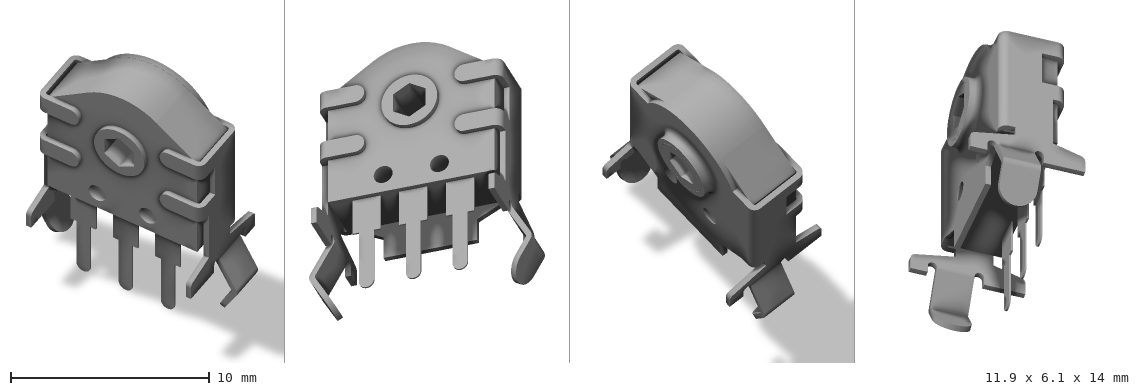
import cadquery as cq
import math


housing_width = 8.89
housing_depth = 2.88
housing_bottom = -5.0
dome_radius = 3.59
dome_slope = 34.4
hex_across_flats = 1.75
hub_diameter = 2.98
peg_hole_diameter = 1.0
peg_hole_spacing = 3.0
peg_hole_z = -3.98

sheet = 0.31
bend_inner = 0.14
bend_outer = bend_inner + sheet
frame_half = housing_width / 2 + bend_outer
frame_top = 1.51
plate_radius = 3.6
collar_diameter = 3.6
collar_bore = 3.0
collar_height = 0.6
collar_fillet = 0.3

finger_width = 1.0
finger_pitch = 3.0
finger_tip_x = 2.4
window_depth = 0.99
side_front_y = 0.39

neck_rear_y = 2.38

tail_start_half = 3.98
tail_half = 2.5
tail_slope_drop = 0.75

skirt_bottom = -7.0
wing_rear_y = 4.78
wing_span = 6.1
wing_front_y = wing_rear_y - wing_span
wing_root_z = -5.52
wing_tip_z = -6.03
wing_corner_radius = 0.3

leg_width = 2.0
leg_y = 2.38
leg_lean = 30
leg_bend_z = -6.42
leg_reach = 5.94
leg_tip_radius = 0.99
notch_width = 0.49
notch_top = -6.29

overall_height = 13.98
part_bottom = plate_radius - overall_height
terminal_pitch = 2.5
terminal_thickness = 0.1
terminal_front_y = 0.3
shoulder_width = 1.5
pin_width = 0.8


def block(x0, x1, y0, y1, z0, z1):
    """Box between two opposite corners."""
    return cq.Workplane("XY").box(x1 - x0, y1 - y0, z1 - z0, centered=False).translate((x0, y0, z0))


def facing_front(y):
    """XZ sketch plane at the given Y; extrusions run toward +Y."""
    return cq.Workplane(cq.Plane(origin=(0, y, 0), xDir=(1, 0, 0), normal=(0, -1, 0)))


def disc(diameter, y0, y1):
    """Cylinder on the hub axis between two Y positions."""
    return facing_front(y0).circle(diameter / 2).extrude(y0 - y1)


def peg_holes(y0, y1):
    """Cutters for the two round holes below the hub."""
    places = [(-peg_hole_spacing / 2, peg_hole_z), (peg_hole_spacing / 2, peg_hole_z)]
    return facing_front(y0).pushPoints(places).circle(peg_hole_diameter / 2).extrude(y0 - y1)


def polar(center, radius, degrees):
    """Point at an angle around a centre."""
    angle = math.radians(degrees)
    return (center[0] + radius * math.cos(angle), center[1] + radius * math.sin(angle))


def make_housing():
    half = housing_width / 2
    left_tangent = polar((0, 0), dome_radius, 90 + dome_slope)
    right_tangent = polar((0, 0), dome_radius, 90 - dome_slope)
    shoulder_z = right_tangent[1] - (half - right_tangent[0]) * math.tan(math.radians(dome_slope))
    body = (
        facing_front(0)
        .moveTo(-half, housing_bottom)
        .lineTo(-half, shoulder_z)
        .lineTo(*left_tangent)
        .threePointArc((0, dome_radius), right_tangent)
        .lineTo(half, shoulder_z)
        .lineTo(half, housing_bottom)
        .close()
        .extrude(-housing_depth)
    )
    hub_rear = housing_depth + sheet + collar_height
    body = body.union(disc(hub_diameter, -sheet, 0))
    body = body.union(disc(hub_diameter, housing_depth, hub_rear))

    hex_corners = hex_across_flats / math.cos(math.pi / 6)
    hexagon = (
        facing_front(-sheet)
        .transformed(rotate=(0, 0, 30))
        .polygon(6, hex_corners)
        .extrude(-(hub_rear + sheet))
    )
    return body.cut(hexagon).cut(peg_holes(0, housing_depth))


def make_back_plate():
    """Round-topped rear plate with its tail and the raised collar around the hub."""
    rear_y = housing_depth + sheet
    half = housing_width / 2
    plate = (
        facing_front(housing_depth)
        .moveTo(-half, frame_top)
        .lineTo(-half, housing_bottom)
        .lineTo(-tail_start_half, housing_bottom)
        .lineTo(-tail_half, housing_bottom - tail_slope_drop)
        .lineTo(-tail_half, skirt_bottom)
        .lineTo(tail_half, skirt_bottom)
        .lineTo(tail_half, housing_bottom - tail_slope_drop)
        .lineTo(tail_start_half, housing_bottom)
        .lineTo(half, housing_bottom)
        .lineTo(half, frame_top)
        .close()
        .extrude(-sheet)
    )
    dome = disc(2 * plate_radius, housing_depth, rear_y)
    collar = disc(collar_diameter, rear_y, rear_y + collar_height)
    plate = plate.union(dome).union(collar)
    collar_root = cq.selectors.NearestToPointSelector((0, rear_y, 0))
    return plate.edges(collar_root).fillet(collar_fillet)


def make_sleeve():
    """Bent side walls: a rounded tube opened at the front except for the four finger bends."""
    mid_y = housing_depth / 2
    outer_depth = housing_depth + 2 * sheet
    height = frame_top - housing_bottom
    base = cq.Workplane("XY", origin=(0, mid_y, housing_bottom))
    outer = base.rect(2 * frame_half, outer_depth).extrude(height).edges("|Z").fillet(bend_outer)
    inner = (
        base.rect(2 * (frame_half - sheet), housing_depth).extrude(height).edges("|Z").fillet(bend_inner)
    )
    sleeve = outer.cut(inner)

    half = housing_width / 2
    window_top = frame_top - finger_width
    window_bottom = frame_top - finger_pitch
    fingers_bottom = window_bottom - finger_width
    sleeve = sleeve.cut(block(-half, half, -sheet, 0, housing_bottom, frame_top))
    sleeve = sleeve.cut(block(-frame_half, frame_half, -sheet, window_depth, window_bottom, window_top))
    return sleeve.cut(block(-frame_half, frame_half, -sheet, side_front_y, housing_bottom, fingers_bottom))


def make_finger(top_z):
    """Right-hand finger with a round tip, lying on the housing front."""
    radius = finger_width / 2
    arc_x = finger_tip_x + radius
    return (
        facing_front(-sheet)
        .moveTo(housing_width / 2, top_z)
        .lineTo(arc_x, top_z)
        .threePointArc((finger_tip_x, top_z - radius), (arc_x, top_z - finger_width))
        .lineTo(housing_width / 2, top_z - finger_width)
        .close()
        .extrude(-sheet)
    )


def make_wing():
    """Right-hand neck and winged foot, notched on both sides of the leg."""
    inner_x = frame_half - sheet
    wing = (
        cq.Workplane("YZ", origin=(inner_x, 0, 0))
        .moveTo(side_front_y, housing_bottom)
        .lineTo(side_front_y, wing_root_z)
        .lineTo(wing_front_y, wing_tip_z)
        .lineTo(wing_front_y, skirt_bottom)
        .lineTo(wing_rear_y, skirt_bottom)
        .lineTo(wing_rear_y, wing_tip_z)
        .lineTo(neck_rear_y, wing_root_z)
        .lineTo(neck_rear_y, housing_bottom)
        .close()
        .extrude(sheet)
    )
    for y in (wing_front_y, wing_rear_y):
        corner = cq.selectors.NearestToPointSelector((frame_half - sheet / 2, y, wing_tip_z))
        wing = wing.edges(corner).fillet(wing_corner_radius)

    leg_front = leg_y - leg_width / 2
    leg_rear = leg_y + leg_width / 2
    wing = wing.cut(block(inner_x, frame_half, leg_front, leg_rear, skirt_bottom, leg_bend_z))
    radius = notch_width / 2
    for y in (leg_front - radius, leg_rear + radius):
        notch = (
            cq.Workplane("YZ", origin=(inner_x, 0, 0))
            .moveTo(y - radius, skirt_bottom)
            .lineTo(y - radius, notch_top - radius)
            .threePointArc((y, notch_top), (y + radius, notch_top - radius))
            .lineTo(y + radius, skirt_bottom)
            .close()
            .extrude(sheet)
        )
        wing = wing.cut(notch)
    return wing


def make_leg():
    """Right-hand snap leg: leans outward, bends back inward and ends in a round tip."""
    lean = math.radians(leg_lean)
    root_center = (frame_half + bend_inner, leg_bend_z)
    knee_x = leg_reach - bend_outer
    knee_drop = (bend_inner + bend_outer + (knee_x - root_center[0]) * math.cos(lean)) / math.sin(lean)
    knee_center = (knee_x, leg_bend_z - knee_drop)

    root_angle = 180 + leg_lean
    root_mid = 180 + leg_lean / 2
    knee_outer_end = polar(knee_center, bend_outer, -leg_lean)
    knee_inner_end = polar(knee_center, bend_inner, -leg_lean)
    tip_length = (knee_outer_end[1] - part_bottom) / math.cos(lean)
    tip_heading = 270 - leg_lean
    leg = (
        facing_front(leg_y - leg_width / 2)
        .moveTo(*polar(root_center, bend_inner, 180))
        .threePointArc(polar(root_center, bend_inner, root_mid), polar(root_center, bend_inner, root_angle))
        .lineTo(*polar(knee_center, bend_outer, leg_lean))
        .threePointArc(polar(knee_center, bend_outer, 0), knee_outer_end)
        .lineTo(*polar(knee_outer_end, tip_length, tip_heading))
        .lineTo(*polar(knee_inner_end, tip_length, tip_heading))
        .lineTo(*knee_inner_end)
        .threePointArc(polar(knee_center, bend_inner, 0), polar(knee_center, bend_inner, leg_lean))
        .lineTo(*polar(root_center, bend_outer, root_angle))
        .threePointArc(polar(root_center, bend_outer, root_mid), polar(root_center, bend_outer, 180))
        .close()
        .extrude(-leg_width)
    )
    across_tip = cq.Vector(math.cos(lean), 0, -math.sin(lean))
    return leg.edges(cq.selectors.ParallelDirSelector(across_tip)).fillet(leg_tip_radius)


def make_frame():
    right_parts = [make_wing(), make_leg()]
    for row in range(2):
        right_parts.append(make_finger(frame_top - row * finger_pitch))
    frame = make_sleeve().union(make_back_plate())
    for piece in right_parts:
        frame = frame.union(piece).union(piece.mirror("YZ"))
    rear_y = housing_depth + sheet
    frame = frame.cut(disc(collar_bore, housing_depth, rear_y + collar_height))
    return frame.cut(peg_holes(housing_depth, rear_y))


def make_terminal(x):
    """Flat terminal with a wide shoulder and a round-ended pin."""
    radius = pin_width / 2
    arc_z = part_bottom + radius
    return (
        facing_front(terminal_front_y)
        .moveTo(x - shoulder_width / 2, housing_bottom)
        .lineTo(x - shoulder_width / 2, skirt_bottom)
        .lineTo(x - radius, skirt_bottom)
        .lineTo(x - radius, arc_z)
        .threePointArc((x, part_bottom), (x + radius, arc_z))
        .lineTo(x + radius, skirt_bottom)
        .lineTo(x + shoulder_width / 2, skirt_bottom)
        .lineTo(x + shoulder_width / 2, housing_bottom)
        .close()
        .extrude(-terminal_thickness)
    )


housing = make_housing()
frame = make_frame()
terminals = [make_terminal(place * terminal_pitch) for place in (-1, 0, 1)]

result = cq.Compound.makeCompound([housing.val(), frame.val(), *[terminal.val() for terminal in terminals]])